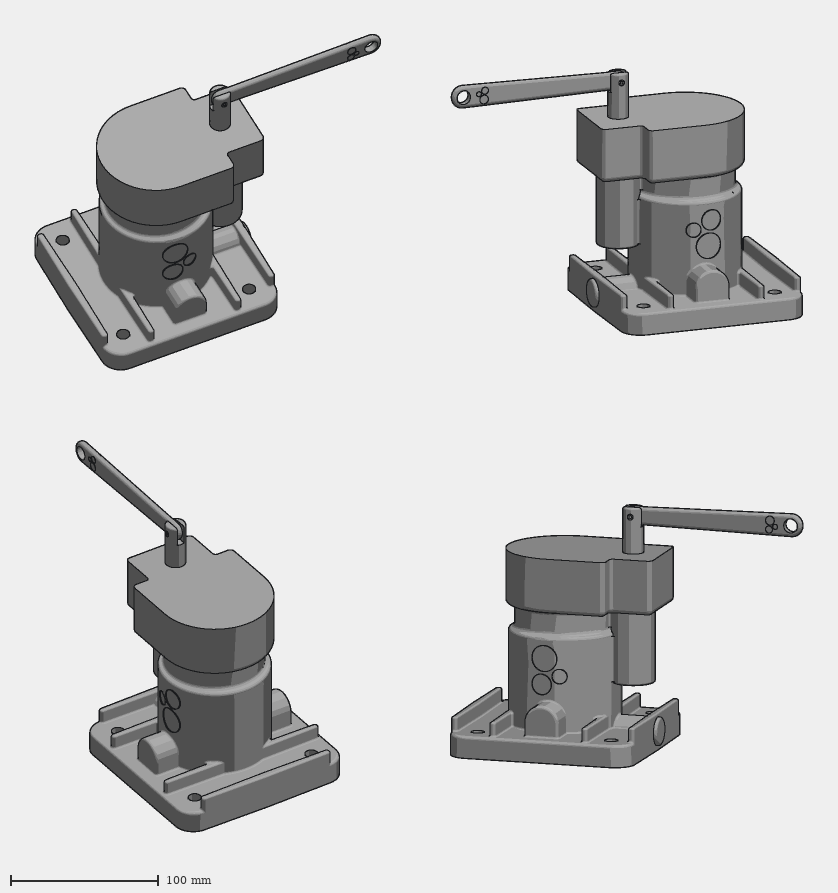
import cadquery as cq
import math


overall_depth = 234.2

base_width = 130.0
base_depth = 131.5
base_height = 15.2
base_corner_radius = 14.0
base_edge_fillet = 2.0
draft_angle = 0.8
mounting_hole_diameter = 9.0
mounting_hole_offset = 47.3
junction_fillet = 1.5

rib_thickness = 6.0
rib_top = 25.3
edge_rib_length = 103.5
inner_rib_length = 124.0
inner_rib_offset = 32.5
rib_edge_fillet = 1.5
rib_end_fillet = 2.0
edge_rib_offset = (base_depth - rib_thickness) / 2

side_boss_radius = 12.2
side_boss_center_z = 25.0
side_boss_reach = 55.0
side_boss_edge_fillet = 2.0
rear_boss_radius = 9.8
rear_boss_center_z = 13.0
rear_boss_reach = 68.2
rear_boss_edge_fillet = 1.9

column_radius = 77.0 / 2
neck_radius = 34.2
shoulder_start_z = 79.2
shoulder_convex_radius = 2.5
shoulder_concave_radius = 3.0
shoulder_arc_sum = shoulder_convex_radius + shoulder_concave_radius
shoulder_sweep = math.acos(1 - (column_radius - neck_radius) / shoulder_arc_sum)
shoulder_end_z = shoulder_start_z + shoulder_arc_sum * math.sin(shoulder_sweep)
neck_head_fillet = 2.3

head_bottom = 98.4
head_top = 136.0
head_radius = 40.3
tab_half_width = 26.5
tab_end_y = 69.3
head_corner_radius = 3.3
head_inner_corner_radius = 2.3
head_bottom_fillet = 3.0

pump_axis_y = 48.2
pump_radius = 15.0
pump_bottom = 46.4
pump_edge_fillet = 1.5
pump_web_fillet = 1.2

dimples = [(0, 0, 18.0), (-1.9, 18.0, 14.3), (10.8, 12.0, 10.0)]
column_dimples_y = -3.3
column_dimples_z = 50.0
column_dimple_depth = 0.7
column_dimples_turn_z = 58.3
handle_dimple_scale = 2.1 / 6.1
handle_dimples_y = 146.0
handle_dimples_z = 158.8
handle_dimple_depth = 0.2

rod_radius = 14.3 / 2
rod_top = 167.7
rod_edge_fillet = 1.6
slot_bottom = 154.4
pivot_z = 161.5
handle_thickness = 5.5
handle_edge_fillet = 2.5
handle_pivot_radius = 6.3
handle_taper_start_y = 58.5
handle_eye_radius = 8.0
handle_eye_y = overall_depth - base_depth / 2 - handle_eye_radius
handle_eye_hole_diameter = 9.5
pin_radius = 4.0 / 2
pin_bore_diameter = 1.9
pin_length = 13.5

draft_slope = math.tan(math.radians(draft_angle))
tolerance = 0.02


def make_base():
    middle_y = base_depth / 2
    side_x = base_width / 2
    corner_y = middle_y - side_x * draft_slope
    outline = [
        (-side_x, -corner_y), (0, -middle_y), (side_x, -corner_y),
        (side_x, corner_y), (0, middle_y), (-side_x, corner_y),
    ]
    plate = cq.Workplane("XY").polyline(outline).close().extrude(base_height)
    plate = plate.edges("|Z").edges("<X or >X").fillet(base_corner_radius)
    return plate.faces(">Z").edges().fillet(base_edge_fillet)


def make_rib(length, offset_y):
    """A rib along X, thickest at X = 0, starting inside the base plate."""
    root_z = base_height / 2
    end_x = length / 2
    middle_half = rib_thickness / 2
    end_half = middle_half - end_x * draft_slope
    outline = [
        (-end_x, -end_half), (0, -middle_half), (end_x, -end_half),
        (end_x, end_half), (0, middle_half), (-end_x, end_half),
    ]
    rib = cq.Workplane("XY").workplane(offset=root_z).polyline(outline).close().extrude(rib_top - root_z)
    rib = rib.edges("|Z").edges("<X or >X").fillet(rib_end_fillet)
    rib = rib.faces(">Z").edges().fillet(rib_edge_fillet)
    return rib.translate((0, offset_y, 0))


def make_side_bosses():
    """An arched bar through the column that forms one boss on each side."""
    bar = (
        cq.Workplane("YZ")
        .moveTo(-side_boss_radius, base_height / 2)
        .lineTo(-side_boss_radius, side_boss_center_z)
        .threePointArc((0, side_boss_center_z + side_boss_radius), (side_boss_radius, side_boss_center_z))
        .lineTo(side_boss_radius, base_height / 2)
        .close()
        .extrude(side_boss_reach, both=True)
    )
    return bar.faces("<X or >X").edges("not <Z").fillet(side_boss_edge_fillet)


def make_rear_boss():
    boss = cq.Workplane("XZ").center(0, rear_boss_center_z).circle(rear_boss_radius).extrude(-rear_boss_reach)
    return boss.faces(">Y").edges().fillet(rear_boss_edge_fillet)


def make_column():
    """Column and neck, joined by a shoulder of two tangent arcs."""

    def convex_point(angle):
        return (
            column_radius - shoulder_convex_radius * (1 - math.cos(angle)),
            shoulder_start_z + shoulder_convex_radius * math.sin(angle),
        )

    def concave_point(angle):
        return (
            neck_radius + shoulder_concave_radius * (1 - math.cos(angle)),
            shoulder_end_z - shoulder_concave_radius * math.sin(angle),
        )

    fillet_mid = neck_head_fillet * (1 - math.cos(math.pi / 4))
    return (
        cq.Workplane("XZ")
        .moveTo(0, base_height / 2)
        .lineTo(column_radius, base_height / 2)
        .lineTo(column_radius, shoulder_start_z)
        .threePointArc(convex_point(shoulder_sweep / 2), convex_point(shoulder_sweep))
        .threePointArc(concave_point(shoulder_sweep / 2), (neck_radius, shoulder_end_z))
        .lineTo(neck_radius, head_bottom - neck_head_fillet)
        .threePointArc(
            (neck_radius + fillet_mid, head_bottom - fillet_mid),
            (neck_radius + neck_head_fillet, head_bottom),
        )
        .lineTo(0, head_bottom)
        .close()
        .revolve(360, (0, 0), (0, 1))
    )


def make_head():
    head = (
        cq.Workplane("XY")
        .workplane(offset=head_bottom)
        .moveTo(-head_radius, 0)
        .threePointArc((0, -head_radius), (head_radius, 0))
        .lineTo(head_radius, head_radius)
        .lineTo(tab_half_width, head_radius)
        .lineTo(tab_half_width, tab_end_y)
        .lineTo(-tab_half_width, tab_end_y)
        .lineTo(-tab_half_width, head_radius)
        .lineTo(-head_radius, head_radius)
        .close()
        .extrude(head_top - head_bottom)
    )

    def upright_edges_at(x, y):
        low = (-x - tolerance, y - tolerance, head_bottom)
        high = (x + tolerance, y + tolerance, head_top)
        return cq.selectors.BoxSelector(low, high)

    inner_corners = upright_edges_at(tab_half_width, head_radius)
    head = head.edges("|Z").edges(inner_corners).fillet(head_inner_corner_radius)
    tab_corners = upright_edges_at(tab_half_width, tab_end_y)
    head = head.edges("|Z").edges(tab_corners).fillet(head_corner_radius)
    head = head.edges("|Z and (<X or >X)").edges(">Y").fillet(head_corner_radius)
    return head.faces("<Z").edges().fillet(head_bottom_fillet)


def make_pump_cylinder():
    cylinder = (
        cq.Workplane("XY")
        .workplane(offset=pump_bottom)
        .center(0, pump_axis_y)
        .circle(pump_radius)
        .extrude(head_bottom - pump_bottom)
    )
    return cylinder.faces("<Z").edges().fillet(pump_edge_fillet)


def is_junction_edge(edge):
    """Foot edges on the base, edges on the column wall, and the rear boss where it meets its rib."""
    box = edge.BoundingBox()
    if box.zmin < base_height - tolerance or box.zmax > side_boss_center_z + side_boss_radius + tolerance:
        return False
    if box.zmax < base_height + tolerance:
        flat_half_width = base_width / 2 - base_edge_fillet
        inside_x = max(-box.xmin, box.xmax) < flat_half_width - tolerance
        inside_y = abs(edge.Center().y) < edge_rib_offset - junction_fillet
        return inside_x and inside_y
    ends = (edge.startPoint(), edge.endPoint())
    rear_rib_face_y = edge_rib_offset - rib_thickness / 2
    face_drift = rear_boss_radius * draft_slope + tolerance
    on_rear_rib = all(
        abs(end.y - rear_rib_face_y) < face_drift and abs(end.x) < rear_boss_radius for end in ends
    )
    on_column = all(abs(math.hypot(end.x, end.y) - column_radius) < tolerance for end in ends)
    return on_rear_rib or on_column


def make_pump_webs(round_radius, bottom, top):
    """Fillet webs on both sides between the pump cylinder and a round of the given radius."""
    column_reach = round_radius + pump_web_fillet
    pump_reach = pump_radius + pump_web_fillet
    center_y = (pump_axis_y**2 + column_reach**2 - pump_reach**2) / (2 * pump_axis_y)
    center_x = math.sqrt(column_reach**2 - center_y**2)
    diamond = [(0, 0), (center_x, center_y), (0, pump_axis_y), (-center_x, center_y)]
    return (
        cq.Workplane("XY")
        .workplane(offset=bottom)
        .polyline(diamond)
        .close()
        .extrude(top - bottom)
        .cut(
            cq.Workplane("XY")
            .workplane(offset=bottom)
            .pushPoints([(-center_x, center_y), (center_x, center_y)])
            .circle(pump_web_fillet)
            .extrude(top - bottom)
        )
    )


def make_dimple_tools(start_x, depth, scale=1.0):
    """Short rods along X that sink a group of three round dimples."""
    tools = cq.Workplane("YZ").workplane(offset=start_x)
    for y, z, diameter in dimples:
        tools = tools.moveTo(y * scale, z * scale).circle(diameter * scale / 2)
    return tools.extrude(depth)


def cut_column_dimples(casting):
    skin = (
        cq.Workplane("XY")
        .workplane(offset=base_height)
        .circle(column_radius + column_dimple_depth)
        .circle(column_radius - column_dimple_depth)
        .extrude(shoulder_start_z - base_height)
    )
    tools = make_dimple_tools(0, -2 * column_radius).translate((0, column_dimples_y, column_dimples_z))
    tools = tools.intersect(skin)
    turn_start = (0, 0, column_dimples_turn_z)
    turn_end = (0, 1, column_dimples_turn_z)
    return casting.cut(tools).cut(tools.rotate(turn_start, turn_end, 180))


def make_casting():
    casting = make_base()
    for side in (-1, 1):
        casting = casting.union(make_rib(edge_rib_length, side * edge_rib_offset))
        casting = casting.union(make_rib(inner_rib_length, side * inner_rib_offset))
    casting = casting.union(make_column()).union(make_side_bosses()).union(make_rear_boss())
    junctions = [edge for edge in casting.edges().vals() if is_junction_edge(edge)]
    casting = casting.newObject(junctions).fillet(junction_fillet)
    casting = casting.union(make_pump_cylinder())
    casting = casting.union(make_pump_webs(column_radius, pump_bottom + pump_edge_fillet, shoulder_start_z))
    casting = casting.union(make_pump_webs(neck_radius, shoulder_end_z, head_bottom - neck_head_fillet))
    casting = casting.union(make_head())
    mounting_holes = (
        cq.Workplane("XY")
        .rect(2 * mounting_hole_offset, 2 * mounting_hole_offset, forConstruction=True)
        .vertices()
        .circle(mounting_hole_diameter / 2)
        .extrude(base_height)
    )
    return cut_column_dimples(casting.cut(mounting_holes))


def make_cross_hole():
    """The hole along X that the pin fills in the rod and the handle."""
    return (
        cq.Workplane("YZ")
        .center(pump_axis_y, pivot_z)
        .circle(pin_radius)
        .extrude(2 * rod_radius, both=True)
    )


def make_rod():
    """The forked piston rod standing on the head."""
    rod = (
        cq.Workplane("XY")
        .workplane(offset=head_top)
        .center(0, pump_axis_y)
        .circle(rod_radius)
        .extrude(rod_top - head_top)
    )
    rod = rod.faces(">Z").edges().fillet(rod_edge_fillet)
    slot = cq.Workplane("XY").box(
        handle_thickness, 4 * rod_radius, rod_top - slot_bottom, centered=(True, True, False)
    )
    slot = slot.translate((0, pump_axis_y, slot_bottom))
    return rod.cut(slot).cut(make_cross_hole())


def make_handle():
    """A flat lever along Y with rounded edges and an eye at its far end."""
    eye_tip = (handle_eye_y + handle_eye_radius, pivot_z)
    pivot_tip = (pump_axis_y - handle_pivot_radius, pivot_z)
    handle = (
        cq.Workplane("YZ")
        .moveTo(pump_axis_y, pivot_z + handle_pivot_radius)
        .lineTo(handle_taper_start_y, pivot_z + handle_pivot_radius)
        .lineTo(handle_eye_y, pivot_z + handle_eye_radius)
        .threePointArc(eye_tip, (handle_eye_y, pivot_z - handle_eye_radius))
        .lineTo(handle_taper_start_y, pivot_z - handle_pivot_radius)
        .lineTo(pump_axis_y, pivot_z - handle_pivot_radius)
        .threePointArc(pivot_tip, (pump_axis_y, pivot_z + handle_pivot_radius))
        .close()
        .extrude(handle_thickness / 2, both=True)
    )
    handle = handle.faces("<X or >X").edges().fillet(handle_edge_fillet)
    eye_hole = (
        cq.Workplane("YZ")
        .center(handle_eye_y, pivot_z)
        .circle(handle_eye_hole_diameter / 2)
        .extrude(handle_thickness, both=True)
    )
    tools = make_dimple_tools(-handle_thickness / 2, handle_dimple_depth, handle_dimple_scale)
    tools = tools.translate((0, handle_dimples_y, handle_dimples_z))
    handle = handle.cut(tools).cut(tools.rotate((0, 0, pivot_z), (0, 1, pivot_z), 180))
    return handle.cut(eye_hole).cut(make_cross_hole())


def make_pin():
    """The hollow pin that holds the handle in the fork."""
    return (
        cq.Workplane("YZ")
        .center(pump_axis_y, pivot_z)
        .circle(pin_radius)
        .circle(pin_bore_diameter / 2)
        .extrude(pin_length / 2, both=True)
    )


casting = make_casting()
rod = make_rod()
handle = make_handle()
pin = make_pin()

result = cq.Compound.makeCompound([casting.val(), rod.val(), handle.val(), pin.val()])